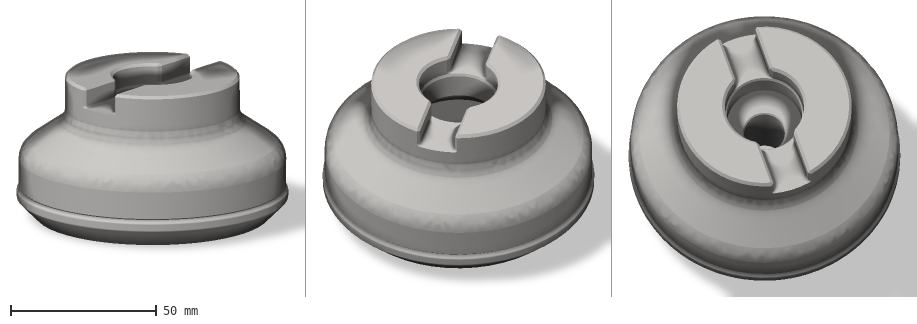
import cadquery as cq
import math

TOTAL_HEIGHT = 50.0
SPLIT_Z = 10.4

BASE_DIAMETER = 93.4
BASE_BEVEL = 6.5
BASE_TOP_BEVEL = 1.2
BASE_TOP_FILLET = 0.6
BASE_EDGE_FILLET = 0.75

BODY_DIAMETER = 92.0
BODY_BOTTOM_BEVEL = 0.5
BOSS_DIAMETER = 60.0
SHOULDER_Z = 23.9
SHOULDER_ANGLE = 35.0
SHOULDER_FILLET = 7.0
NECK_FILLET = 5.0
EDGE_CHAMFER = 0.9

SLOT_WIDTH = 12.5
SLOT_DEPTH = 7.2
SLOT_FILLET = 0.8

ENTRY_DIAMETER = 27.2
STEP_DIAMETER = 27.0
BORE_DIAMETER = 26.0
ENTRY_TAPER_HEIGHT = 0.8
BORE_BOTTOM_Z = 33.6
UNDERCUT_DIAMETER = 38.1
UNDERCUT_HEIGHT = 6.7
HOLE_DIAMETER = 14.0
HOLE_CHAMFER = 0.5

SLOT_FLOOR_Z = TOTAL_HEIGHT - SLOT_DEPTH
CAVITY_FLOOR_Z = BORE_BOTTOM_Z - UNDERCUT_HEIGHT
SELECT_MARGIN = 0.05


def revolve_profile(points):
    """Revolve a closed (radius, z) outline about the Z axis."""
    return cq.Workplane("XZ").polyline(points).close().revolve(360, (0, 0), (0, 1))


def horizontal_circle_at(radius, z):
    """Box selector enclosing only the circular edge whose centre lies on the axis at this height."""
    reach = radius + SELECT_MARGIN
    return cq.selectors.BoxSelector(
        (-reach, -reach, z - SELECT_MARGIN), (reach, reach, z + SELECT_MARGIN), boundingbox=True
    )


def make_base():
    radius = BASE_DIAMETER / 2
    hole_radius = HOLE_DIAMETER / 2
    base = revolve_profile([
        (hole_radius, 0),
        (radius - BASE_BEVEL, 0),
        (radius, BASE_BEVEL),
        (radius, SPLIT_Z - BASE_TOP_BEVEL),
        (radius - BASE_TOP_BEVEL, SPLIT_Z),
        (hole_radius, SPLIT_Z),
    ])
    base = base.edges(horizontal_circle_at(radius, BASE_BEVEL)).fillet(BASE_EDGE_FILLET)
    return base.edges(horizontal_circle_at(radius, SPLIT_Z - BASE_TOP_BEVEL)).fillet(BASE_TOP_FILLET)


def make_housing_outside():
    body_radius = BODY_DIAMETER / 2
    boss_radius = BOSS_DIAMETER / 2
    shoulder_rise = (body_radius - boss_radius) * math.tan(math.radians(SHOULDER_ANGLE))
    neck_z = SHOULDER_Z + shoulder_rise
    outside = revolve_profile([
        (0, SPLIT_Z),
        (body_radius - BODY_BOTTOM_BEVEL, SPLIT_Z),
        (body_radius, SPLIT_Z + BODY_BOTTOM_BEVEL),
        (body_radius, SHOULDER_Z),
        (boss_radius, neck_z),
        (boss_radius, TOTAL_HEIGHT),
        (0, TOTAL_HEIGHT),
    ])
    outside = outside.edges(horizontal_circle_at(body_radius, SHOULDER_Z)).fillet(SHOULDER_FILLET)
    return outside.edges(horizontal_circle_at(boss_radius, neck_z)).fillet(NECK_FILLET)


def make_bore():
    hole_radius = HOLE_DIAMETER / 2
    return revolve_profile([
        (0, SPLIT_Z),
        (hole_radius, SPLIT_Z),
        (hole_radius, CAVITY_FLOOR_Z - HOLE_CHAMFER),
        (hole_radius + HOLE_CHAMFER, CAVITY_FLOOR_Z),
        (UNDERCUT_DIAMETER / 2, CAVITY_FLOOR_Z),
        (BORE_DIAMETER / 2, BORE_BOTTOM_Z),
        (BORE_DIAMETER / 2, SLOT_FLOOR_Z - ENTRY_TAPER_HEIGHT),
        (STEP_DIAMETER / 2, SLOT_FLOOR_Z),
        (ENTRY_DIAMETER / 2, SLOT_FLOOR_Z),
        (ENTRY_DIAMETER / 2, TOTAL_HEIGHT),
        (0, TOTAL_HEIGHT),
    ])


def make_slot():
    slot = cq.Workplane("XY").box(SLOT_WIDTH, BASE_DIAMETER, SLOT_DEPTH, centered=(True, True, False))
    return slot.translate((0, 0, SLOT_FLOOR_Z))


def make_housing():
    housing = make_housing_outside().cut(make_bore()).cut(make_slot())
    top_edges = housing.faces(">Z").edges()
    wall_ends = housing.edges("|Z").edges(cq.selectors.BoxSelector(
        (-SLOT_WIDTH, -BOSS_DIAMETER, SLOT_FLOOR_Z), (SLOT_WIDTH, BOSS_DIAMETER, TOTAL_HEIGHT)
    ))
    housing = top_edges.add(wall_ends).chamfer(EDGE_CHAMFER)
    floor_corners = housing.edges("%LINE").edges(cq.selectors.BoxSelector(
        (-SLOT_WIDTH, -BOSS_DIAMETER, SLOT_FLOOR_Z - SELECT_MARGIN),
        (SLOT_WIDTH, BOSS_DIAMETER, SLOT_FLOOR_Z + SELECT_MARGIN),
        boundingbox=True,
    ))
    return floor_corners.fillet(SLOT_FILLET)


base = make_base()
housing = make_housing()

result = cq.Compound.makeCompound([base.val(), housing.val()])